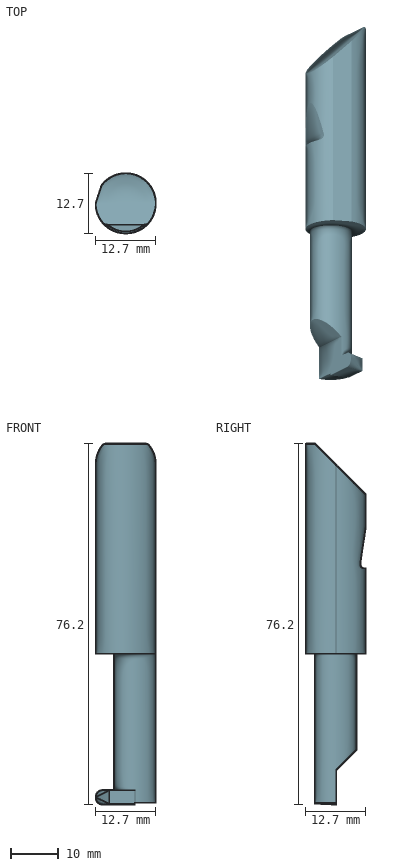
import cadquery as cq
import math

total_length = 76.15
shank_radius = 6.36
neck_radius = 4.4
neck_x = shank_radius - neck_radius
shank_bottom = 31.75
neck_bottom = 0.4
neck_front = -neck_radius

slant_start_y = -4.5
top_chamfer_width = 0.45
top_chamfer_height = 0.2
flat_edge_y = 3.8
notch_depth = 1.15
notch_bottom = 49.8
notch_top = 58.55
notch_corner = 0.75
notch_floor = 0.45

rake_y = 0.15
relief_bottom = 7.3

head_height = 3.1
nose_radius = head_height / 2
nose_tip_x = -shank_radius
nose_center_x = nose_tip_x + nose_radius
head_back_x = neck_x
head_front_x = -3.5
head_front_bottom = 0.2
head_front_top = 3.05
head_step_x = -2.05


def yz_prism(sketch):
    """Extrude a closed YZ outline across the full width of the part."""
    return sketch.close().extrude(2 * shank_radius, both=True)


def make_shank():
    shank = (
        cq.Workplane("XY")
        .workplane(offset=shank_bottom)
        .circle(shank_radius)
        .extrude(total_length - shank_bottom)
        .faces(">Z")
        .chamfer(top_chamfer_height, top_chamfer_width)
    )
    slope_run = 2 * shank_radius
    slope = yz_prism(
        cq.Workplane("YZ")
        .moveTo(slant_start_y, total_length)
        .lineTo(slant_start_y + slope_run, total_length - slope_run)
        .lineTo(slant_start_y + slope_run, total_length)
    )
    notch_y = shank_radius - notch_depth
    notch_outside = shank_radius + notch_depth
    ramp_slope = (notch_top - notch_bottom - notch_corner - notch_floor) / notch_depth
    notch = yz_prism(
        cq.Workplane("YZ")
        .moveTo(notch_outside, notch_bottom)
        .lineTo(notch_y + notch_corner, notch_bottom)
        .radiusArc((notch_y, notch_bottom + notch_corner), notch_corner)
        .lineTo(notch_y, notch_bottom + notch_corner + notch_floor)
        .lineTo(notch_outside, notch_top + ramp_slope * notch_depth)
    )
    return shank.cut(slope).cut(notch).cut(make_side_flat())


def make_side_flat():
    """Cutter whose inner face is the chord from y = 0 to flat_edge_y on the -X side."""
    half_angle = math.asin(flat_edge_y / shank_radius) / 2
    distance = shank_radius * math.cos(half_angle)
    cutter = cq.Workplane("XY").box(
        shank_radius, 2 * shank_radius, total_length, centered=(False, True, False)
    )
    turn = 180 - math.degrees(half_angle)
    return cutter.translate((distance, 0, 0)).rotate((0, 0, 0), (0, 0, 1), turn)


def make_neck():
    neck = (
        cq.Workplane("XY")
        .workplane(offset=neck_bottom)
        .center(neck_x, 0)
        .circle(neck_radius)
        .extrude(shank_bottom - neck_bottom)
    )
    relief = yz_prism(
        cq.Workplane("YZ")
        .moveTo(rake_y, 0)
        .lineTo(rake_y, relief_bottom)
        .lineTo(rake_y + shank_radius, relief_bottom + shank_radius)
        .lineTo(rake_y + shank_radius, 0)
    )
    return neck.cut(relief)


def cone_to_point(edges, apex):
    """Solid joining a planar closed outline to an apex point."""
    base = cq.Face.makeFromWires(cq.Wire.assembleEdges(edges))
    return cq.Workplane(obj=cq.occ_impl.shapes.loft(base, cq.Vertex.makeVertex(*apex)))


def make_head():
    """Block behind the nose, then a round nose that narrows to the front face edge."""
    rake_rectangle = [
        (nose_center_x, rake_y, 0),
        (head_back_x, rake_y, 0),
        (head_back_x, rake_y, head_height),
        (nose_center_x, rake_y, head_height),
    ]
    front_rectangle = [
        (head_front_x, neck_front, head_front_bottom),
        (head_back_x, neck_front, head_front_bottom),
        (head_back_x, neck_front, head_front_top),
        (head_front_x, neck_front, head_front_top),
    ]
    outlines = [
        cq.Wire.makePolygon([cq.Vector(*point) for point in corners], close=True)
        for corners in (rake_rectangle, front_rectangle)
    ]
    head = cq.Workplane(obj=cq.Solid.makeLoft(outlines, True))

    center = cq.Vector(nose_center_x, rake_y, nose_radius)
    tip = cq.Vector(nose_tip_x, rake_y, nose_radius)
    low_apex = front_rectangle[0]
    high_apex = front_rectangle[3]
    diagonal = nose_radius * math.sqrt(0.5)
    for side, apex in ((-1, low_apex), (1, high_apex)):
        end = center + cq.Vector(0, 0, side * nose_radius)
        middle = center + cq.Vector(-diagonal, 0, side * diagonal)
        sector = [
            cq.Edge.makeLine(center, tip),
            cq.Edge.makeThreePointArc(tip, middle, end),
            cq.Edge.makeLine(end, center),
        ]
        head = head.union(cone_to_point(sector, apex))

    low_corner = cq.Vector(*low_apex)
    triangle = [
        cq.Edge.makeLine(center, tip),
        cq.Edge.makeLine(tip, low_corner),
        cq.Edge.makeLine(low_corner, center),
    ]
    head = head.union(cone_to_point(triangle, high_apex))
    step = cq.Workplane("XY").box(
        shank_radius, 2 * shank_radius, head_height, centered=(False, True, False)
    )
    return head.cut(step.translate((head_step_x, 0, head_front_top)))


result = make_shank().union(make_neck()).union(make_head())